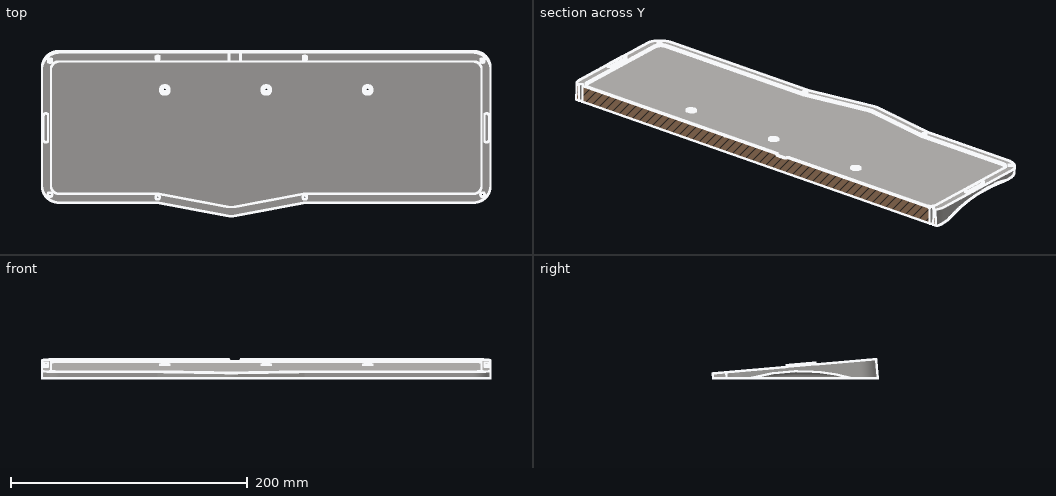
import cadquery as cq
import math

length = 379.0
depth = 127.5
back_height = 16.3
tilt = 5.0
corner_radius = 14.5

v_center_x = -29.5
v_half_width = 62.0
v_drop = 11.7
v_tip_radius = 17.0

rim = 7.5
recess_depth = 2.0
recess_corner_radius = corner_radius - rim

rim_hole_diameter = 3.5
corner_hole_inset = 7.0
edge_hole_inset = 4.5

floor_hole_diameter = 4.0
counterbore_diameter = 8.0
counterbore_depth = 1.0
floor_hole_pitch = 85.5
floor_hole_center_x = 0.0
floor_hole_from_back = 32.0

pad_length = 24.5
pad_width = 3.8
pad_height = 1.5
pad_inset = 3.5
end_middle = -depth / 2

notch_center_x = -26.5
notch_top_width = 10.5
notch_floor_width = 9.0
notch_depth = 1.5

scoop_length = 86.5
scoop_height = 6.0

end_x = length / 2
cut_depth = 2 * back_height
overlap = 3.8

top_plane = cq.Plane(origin=(0, 0, back_height), xDir=(1, 0, 0),
                     normal=(0, -math.sin(math.radians(tilt)), math.cos(math.radians(tilt))))


def on_top(height=0.0):
    """Workplane parallel to the top face, offset from it by height."""
    return cq.Workplane(top_plane).workplane(offset=height)


def outline_prism(inset, corner, thickness):
    """Outline moved inwards by inset, with rounded corners, extruded down from the top face."""
    side = end_x - inset
    back = -inset
    front = -depth + inset
    v_angle = math.atan(v_drop / v_half_width)
    kink = v_half_width - inset * math.tan(v_angle / 2)
    tip = front - kink * math.tan(v_angle)
    base = (
        on_top()
        .center(0, (back + front) / 2)
        .rect(2 * side, back - front)
        .extrude(-thickness)
        .edges(cq.selectors.ParallelDirSelector(top_plane.zDir))
        .fillet(corner)
    )
    tip_half_width = v_tip_radius * math.sin(v_angle)
    tip_shoulder = tip + tip_half_width * math.tan(v_angle)
    tip_end = tip_shoulder - v_tip_radius * (1 - math.cos(v_angle))
    bulge = (
        on_top()
        .moveTo(v_center_x - kink, front)
        .lineTo(v_center_x - tip_half_width, tip_shoulder)
        .threePointArc((v_center_x, tip_end), (v_center_x + tip_half_width, tip_shoulder))
        .lineTo(v_center_x + kink, front)
        .lineTo(v_center_x, front + overlap)
        .close()
        .extrude(-thickness)
    )
    return base.union(bulge)


def finger_scoop(x):
    """Spindle along Y: a circular arc revolved about its own chord, at the bottom edge of one end."""
    return (
        cq.Workplane("XY")
        .moveTo(x, end_middle - scoop_length / 2)
        .threePointArc((x + scoop_height, end_middle), (x, end_middle + scoop_length / 2))
        .close()
        .revolve(360, (x, 0), (x, 1))
    )


cutter_size = 2 * length
below_floor = cq.Workplane("XY").rect(cutter_size, cutter_size).extrude(-cutter_size)
result = outline_prism(0, corner_radius, cut_depth).cut(below_floor)

result = result.cut(outline_prism(rim, recess_corner_radius, recess_depth))

notch_plane = cq.Plane(origin=top_plane.toWorldCoords((notch_center_x, 0, 0)),
                       xDir=(1, 0, 0), normal=-top_plane.yDir)
notch = (
    cq.Workplane(notch_plane)
    .polyline([
        (-notch_top_width / 2, 0),
        (-notch_floor_width / 2, -notch_depth),
        (notch_floor_width / 2, -notch_depth),
        (notch_top_width / 2, 0),
    ])
    .close()
    .extrude(rim)
)
result = result.cut(notch)

rim_hole_points = []
for corner_x in (-end_x + corner_hole_inset, end_x - corner_hole_inset):
    rim_hole_points.append((corner_x, -corner_hole_inset))
    rim_hole_points.append((corner_x, -depth + corner_hole_inset))
for kink_x in (v_center_x - v_half_width, v_center_x + v_half_width):
    rim_hole_points.append((kink_x, -edge_hole_inset))
    rim_hole_points.append((kink_x, -depth + edge_hole_inset))
rim_holes = on_top().pushPoints(rim_hole_points).circle(rim_hole_diameter / 2).extrude(-cut_depth)
result = result.cut(rim_holes)

floor_hole_points = [
    (floor_hole_center_x + step * floor_hole_pitch, -floor_hole_from_back) for step in (-1, 0, 1)
]
floor_holes = on_top(-recess_depth).pushPoints(floor_hole_points)
result = result.cut(floor_holes.circle(floor_hole_diameter / 2).extrude(-cut_depth))
result = result.cut(floor_holes.circle(counterbore_diameter / 2).extrude(-counterbore_depth))

pads = (
    on_top()
    .pushPoints([(-end_x + pad_inset, end_middle), (end_x - pad_inset, end_middle)])
    .slot2D(pad_length, pad_width, 90)
    .extrude(pad_height)
)
result = result.union(pads)

for scoop_x in (-end_x, end_x):
    result = result.cut(finger_scoop(scoop_x))